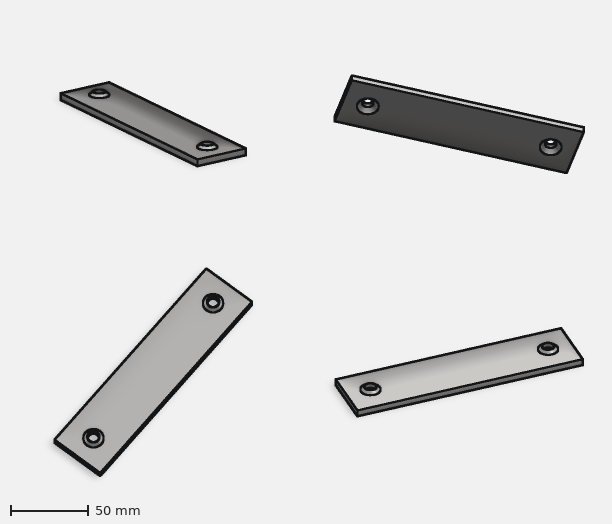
import cadquery as cq

length = 157.2
width = 38.0
overall_height = 6.9
boss_height = 2.2
plate_thickness = overall_height - boss_height

hole_spacing = 123.8
hole_diameter = 7.5
boss_base_diameter = 13.2
boss_top_diameter = 8.2
countersink_diameter = 14.1
countersink_depth = (countersink_diameter - hole_diameter) / 2


def make_boss(x):
    """Conical boss standing on the top face of the plate."""
    return cq.Workplane(
        cq.Solid.makeCone(
            boss_base_diameter / 2,
            boss_top_diameter / 2,
            boss_height,
            pnt=cq.Vector(x, 0, plate_thickness),
        )
    )


def make_hole(x):
    """Through hole with a countersink opening at the underside."""
    bore = cq.Workplane("XY").center(x, 0).circle(hole_diameter / 2).extrude(overall_height)
    countersink = cq.Solid.makeCone(
        countersink_diameter / 2,
        hole_diameter / 2,
        countersink_depth,
        pnt=cq.Vector(x, 0, 0),
    )
    return bore.union(cq.Workplane(countersink))


result = cq.Workplane("XY").box(length, width, plate_thickness, centered=(True, True, False))
for hole_x in (-hole_spacing / 2, hole_spacing / 2):
    result = result.union(make_boss(hole_x)).cut(make_hole(hole_x))